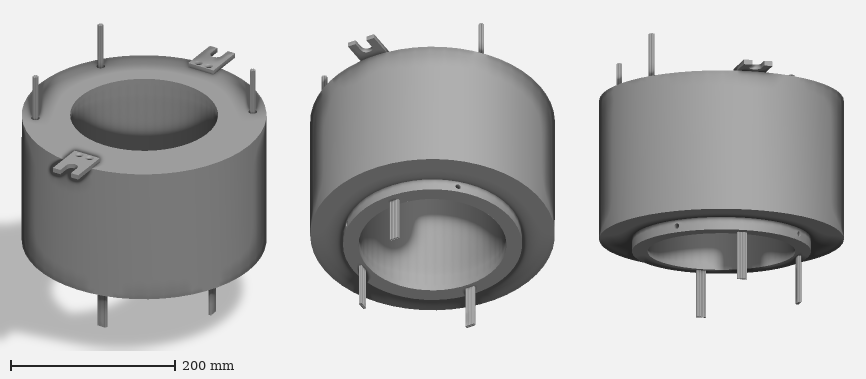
import cadquery as cq
import math

RING_DIAMETER = 298.0
RING_HEIGHT = 174.0
BORE_DIAMETER = 180.0
FLANGE_DIAMETER = 218.0
FLANGE_HEIGHT = 15.5

RIM_HOLE_DIAMETER = 6.6
RIM_HOLE_DEPTH = 10.0
RIM_HOLE_ANGLES = (45.0, 135.0, 225.0, 315.0)

BRACKET_ANGLES = (0.0, 180.0)
BRACKET_REACH = 180.0
BRACKET_LENGTH = 50.5
BRACKET_WIDTH = 36.0
BRACKET_THICKNESS = 6.0
BRACKET_OFFSET = 1.75
SLOT_WIDTH = 15.0
SLOT_DEPTH = 21.5
SCREW_SPACING = 14.5
SCREW_EDGE_DISTANCE = 6.5
CLEARANCE_DIAMETER = 5.0
COUNTERSINK_DIAMETER = 10.0
COUNTERSINK_ANGLE = 90.0
TAPPED_DIAMETER = 3.3
TAPPED_DEPTH = 10.0
DRILL_POINT_ANGLE = 118.0

WIRE_OVERLAP = 0.06
ROOT_DEPTH = 1.0

UPPER_LEAD_LENGTH = 58.0
UPPER_WIRE_DIAMETER = 2.4
UPPER_LEAD_RADIUS = 132.5
UPPER_LEAD_ANGLES = (35.0, 145.0, 215.0)
WELL_DIAMETER = 10.4
WELL_DEPTH = 5.0
UPPER_OUTER_WIRES = 6

LOWER_LEAD_LENGTH = 58.5
LOWER_WIRE_DIAMETER = 2.1
LOWER_LEAD_RADIUS = 97.0
LOWER_LEAD_ANGLES = (0.0, 90.0, 270.0)
LOWER_LAYERS = 2
LOWER_WIRES_PER_LAYER = 6


def make_body():
    """Ring with its lower flange and the through bore."""
    ring = cq.Workplane("XY").circle(RING_DIAMETER / 2).extrude(RING_HEIGHT)
    flange = cq.Workplane("XY").circle(FLANGE_DIAMETER / 2).extrude(-FLANGE_HEIGHT)
    bore = (
        cq.Workplane("XY", origin=(0, 0, -FLANGE_HEIGHT))
        .circle(BORE_DIAMETER / 2)
        .extrude(FLANGE_HEIGHT + RING_HEIGHT)
    )
    return ring.union(flange).cut(bore)


def make_rim_hole():
    """Cutter for a blind radial hole at mid-height of the flange rim, along the +X axis."""
    start = FLANGE_DIAMETER / 2 - RIM_HOLE_DEPTH
    return (
        cq.Workplane("YZ", origin=(start, 0, -FLANGE_HEIGHT / 2))
        .circle(RIM_HOLE_DIAMETER / 2)
        .extrude(RIM_HOLE_DEPTH)
    )


def make_bracket():
    """Back bracket: plate with an open round-ended slot."""
    inner_edge = BRACKET_REACH - BRACKET_LENGTH
    slot_radius = SLOT_WIDTH / 2
    slot_centre = BRACKET_REACH - SLOT_DEPTH + slot_radius
    half_width = BRACKET_WIDTH / 2
    return (
        cq.Workplane("XY", origin=(BRACKET_OFFSET, 0, RING_HEIGHT))
        .moveTo(-half_width, inner_edge)
        .lineTo(half_width, inner_edge)
        .lineTo(half_width, BRACKET_REACH)
        .lineTo(slot_radius, BRACKET_REACH)
        .lineTo(slot_radius, slot_centre)
        .threePointArc((0, slot_centre - slot_radius), (-slot_radius, slot_centre))
        .lineTo(-slot_radius, BRACKET_REACH)
        .lineTo(-half_width, BRACKET_REACH)
        .close()
        .extrude(BRACKET_THICKNESS)
    )


def make_screw_hole(x):
    """Cutter for one countersunk bracket hole and the drill-pointed tapping hole under it."""
    sink_radius = COUNTERSINK_DIAMETER / 2
    clearance_radius = CLEARANCE_DIAMETER / 2
    tapped_radius = TAPPED_DIAMETER / 2
    sink_depth = (sink_radius - clearance_radius) / math.tan(math.radians(COUNTERSINK_ANGLE / 2))
    point_depth = tapped_radius / math.tan(math.radians(DRILL_POINT_ANGLE / 2))
    screw_row = BRACKET_REACH - BRACKET_LENGTH + SCREW_EDGE_DISTANCE
    return (
        cq.Workplane("XZ", origin=(x, screw_row, RING_HEIGHT))
        .moveTo(0, BRACKET_THICKNESS)
        .lineTo(sink_radius, BRACKET_THICKNESS)
        .lineTo(clearance_radius, BRACKET_THICKNESS - sink_depth)
        .lineTo(clearance_radius, 0)
        .lineTo(tapped_radius, 0)
        .lineTo(tapped_radius, -TAPPED_DEPTH)
        .lineTo(0, -TAPPED_DEPTH - point_depth)
        .close()
        .revolve(360, (0, 0, 0), (0, 1, 0))
    )


def make_screw_hole_pair():
    """Cutters for the two screw holes of the back bracket."""
    left_hole = make_screw_hole(BRACKET_OFFSET - SCREW_SPACING / 2)
    right_hole = make_screw_hole(BRACKET_OFFSET + SCREW_SPACING / 2)
    return left_hole.union(right_hole)


def turn(shape, angle):
    """Shape turned about the ring axis."""
    return shape.rotate((0, 0, 0), (0, 0, 1), angle)


def make_well():
    """Cutter for the round well around an upper bundle, on the +X axis."""
    return (
        cq.Workplane("XY", origin=(UPPER_LEAD_RADIUS, 0, RING_HEIGHT - WELL_DEPTH))
        .circle(WELL_DIAMETER / 2)
        .extrude(WELL_DEPTH)
    )


def fuse_wires(centres, diameter, bottom, length):
    """Upright wires at the given XY centres, fused along the lines where they overlap."""
    wires = cq.Workplane("XY")
    for x, y in centres:
        wire = cq.Workplane("XY", origin=(x, y, bottom)).circle(diameter / 2).extrude(length)
        wires = wires.union(wire)
    return wires


def make_upper_bundle():
    """One central wire with a ring of wires around it, standing in the well on the +X axis."""
    pitch = UPPER_WIRE_DIAMETER - WIRE_OVERLAP
    centres = [(UPPER_LEAD_RADIUS, 0)]
    for index in range(UPPER_OUTER_WIRES):
        angle = 2 * math.pi * index / UPPER_OUTER_WIRES
        centres.append((UPPER_LEAD_RADIUS + pitch * math.cos(angle), pitch * math.sin(angle)))
    sunk_length = WELL_DEPTH + ROOT_DEPTH
    bottom = RING_HEIGHT - sunk_length
    return fuse_wires(centres, UPPER_WIRE_DIAMETER, bottom, UPPER_LEAD_LENGTH + sunk_length)


def make_lower_row():
    """Two layers of wires side by side along Y, under the flange on the +X axis."""
    pitch = LOWER_WIRE_DIAMETER - WIRE_OVERLAP
    centres = []
    for layer in range(LOWER_LAYERS):
        x = LOWER_LEAD_RADIUS + pitch * (layer - (LOWER_LAYERS - 1) / 2)
        for index in range(LOWER_WIRES_PER_LAYER):
            y = pitch * (index - (LOWER_WIRES_PER_LAYER - 1) / 2)
            centres.append((x, y))
    bottom = -FLANGE_HEIGHT - LOWER_LEAD_LENGTH
    return fuse_wires(centres, LOWER_WIRE_DIAMETER, bottom, LOWER_LEAD_LENGTH + ROOT_DEPTH)


result = make_body()

rim_hole = make_rim_hole()
for rim_angle in RIM_HOLE_ANGLES:
    result = result.cut(turn(rim_hole, rim_angle))

bracket = make_bracket()
screw_holes = make_screw_hole_pair()
for bracket_angle in BRACKET_ANGLES:
    result = result.union(turn(bracket, bracket_angle))
    result = result.cut(turn(screw_holes, bracket_angle))

well = make_well()
upper_bundle = make_upper_bundle()
for upper_angle in UPPER_LEAD_ANGLES:
    result = result.cut(turn(well, upper_angle))
    result = result.union(turn(upper_bundle, upper_angle))

lower_row = make_lower_row()
for lower_angle in LOWER_LEAD_ANGLES:
    result = result.union(turn(lower_row, lower_angle))